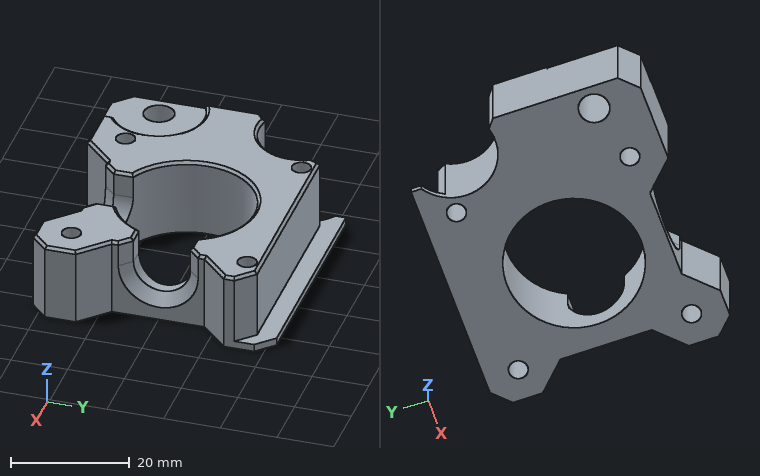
import cadquery as cq
import math

length = 51.0
height = 14.0
body_depth = 39.5
flange_depth = 43.0
flange_thickness = 1.45
corner = 3.05
top_chamfer = 0.5

bore_x = 30.0
bore_y = 21.5
bore_diameter = 24.0
screw_diameter = 3.3
screw_pitch = 31.0

front_notch_depth = 5.1
front_notch_half_width = 7.95
right_notch_depth = 4.9
right_notch_half_width = 8.15

channel_radius = 5.0
channel_flare = 2.05
flare_angle = 45
channel_axis_z = 9.5

pivot_x = 4.0
pivot_offset_y = 12.85
pivot_diameter = 5.3
clearance_radius = 8.0
pocket_depth = 0.9
step_x = 8.3

left_bevel_width = 1.7
left_bevel_y = 25.35
back_bevel_y = 37.9
back_bevel_x = 12.0

pivot_y = bore_y - pivot_offset_y
cut_y = bore_y + pivot_offset_y
front_notch_outer = front_notch_half_width + front_notch_depth
right_notch_outer = right_notch_half_width + right_notch_depth
left_bevel_top_y = cut_y - math.sqrt(clearance_radius**2 - (pivot_x - left_bevel_width) ** 2)
back_bevel_inner_x = pivot_x + math.sqrt(clearance_radius**2 - (back_bevel_y - cut_y) ** 2)


def cylinder(x, y, radius, bottom, top):
    """Vertical cylinder between two heights."""
    return cq.Workplane("XY", origin=(x, y, bottom)).circle(radius).extrude(top - bottom)


def block(x_start, back_y, thickness):
    """Plate with bevelled corners and the front and right notches."""
    right_notch_x = length - right_notch_depth
    points = [
        (x_start, 0),
        (bore_x - front_notch_outer, 0),
        (bore_x - front_notch_half_width, front_notch_depth),
        (bore_x + front_notch_half_width, front_notch_depth),
        (bore_x + front_notch_outer, 0),
        (length - corner, 0),
        (length, corner),
        (length, bore_y - right_notch_outer),
        (right_notch_x, bore_y - right_notch_half_width),
        (right_notch_x, bore_y + right_notch_half_width),
        (length, bore_y + right_notch_outer),
        (length, back_y - corner),
        (length - corner, back_y),
        (x_start, back_y),
    ]
    return cq.Workplane("XY").polyline(points).close().extrude(thickness)


def corner_cut():
    """Back left clearance: a round cut opened out to the left and back."""
    opening = (
        cq.Workplane("XY")
        .polyline([
            (0, left_bevel_y),
            (left_bevel_width, left_bevel_top_y),
            (pivot_x, cut_y),
            (back_bevel_inner_x, back_bevel_y),
            (back_bevel_x, body_depth),
            (0, body_depth),
        ])
        .close()
        .extrude(height)
    )
    return opening.union(cylinder(pivot_x, cut_y, clearance_radius, 0, height))


def channel(notch_distance):
    """Open-topped U channel along -Y from the origin, flared at its mouth."""
    def rounded_slot(y, radius, depth, taper):
        rise = height + channel_flare
        plane = cq.Workplane("XZ", origin=(0, y, channel_axis_z))
        return (
            plane.moveTo(-radius, rise)
            .lineTo(-radius, 0)
            .threePointArc((0, -radius), (radius, 0))
            .lineTo(radius, rise)
            .close()
            .extrude(depth, taper=taper)
        )

    straight = rounded_slot(0, channel_radius, notch_distance, 0)
    mouth = rounded_slot(channel_flare - notch_distance, channel_radius, channel_flare, -flare_angle)
    return straight.union(mouth)


body = block(0, body_depth, height)
body = body.edges("|Z and <X and <Y").chamfer(corner)
body = body.cut(corner_cut())
body = body.cut(cylinder(bore_x, bore_y, bore_diameter / 2, 0, height))

front_channel = channel(bore_y - front_notch_depth)
right_channel = channel(length - right_notch_depth - bore_x).rotate((0, 0, 0), (0, 0, 1), 90)
for cutter in (front_channel, right_channel):
    body = body.cut(cutter.translate((bore_x, bore_y, 0)))

pocket_floor = height - pocket_depth
pocket = cylinder(pivot_x, pivot_y, clearance_radius, pocket_floor, height)
pocket_front = cq.Workplane("XY", origin=(0, 0, pocket_floor)).rect(step_x, pivot_y, centered=False)
body = body.cut(pocket).cut(pocket_front.extrude(pocket_depth))

body = body.faces(">Z").edges().chamfer(top_chamfer)

flange = block(step_x, flange_depth, flange_thickness)
flange = flange.cut(cq.Workplane("XY").rect(length, bore_y, centered=False).extrude(height))
flange = flange.cut(cylinder(pivot_x, cut_y, clearance_radius, 0, height))
flange = flange.cut(cylinder(bore_x, bore_y, bore_diameter / 2, 0, height))
body = body.union(flange)

for side_x in (-1, 1):
    for side_y in (-1, 1):
        screw_x = bore_x + side_x * screw_pitch / 2
        screw_y = bore_y + side_y * screw_pitch / 2
        body = body.cut(cylinder(screw_x, screw_y, screw_diameter / 2, 0, height))
result = body.cut(cylinder(pivot_x, pivot_y, pivot_diameter / 2, 0, height))